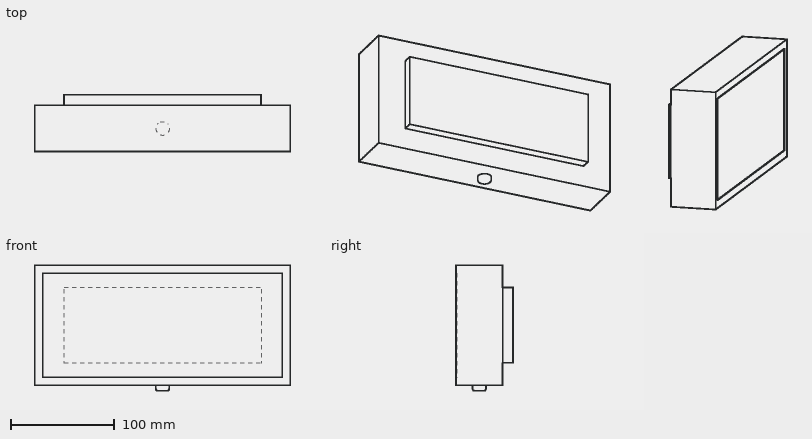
import cadquery as cq

body_width = 247.0
body_depth = 45.0
body_height = 116.0

frame_width = 8.0
recess_depth = 0.7

plate_width = 190.2
plate_height = 72.9
total_depth = 55.0
plate_thickness = total_depth - body_depth

knob_diameter = 13.0
total_height = 121.5
knob_length = total_height - body_height
knob_edge_radius = 2.2


def block(width, depth, height, front_y):
    """Block centred on X and Z that extends from front_y toward +Y."""
    return cq.Workplane("XY").box(width, depth, height, centered=(True, False, True)).translate((0, front_y, 0))


def make_housing():
    housing = block(body_width, body_depth, body_height, 0)
    recess = block(body_width - 2 * frame_width, recess_depth, body_height - 2 * frame_width, 0)
    return housing.cut(recess)


def make_knob():
    return (
        cq.Workplane("XY", origin=(0, body_depth / 2, -body_height / 2))
        .circle(knob_diameter / 2)
        .extrude(-knob_length)
        .faces("<Z")
        .edges()
        .fillet(knob_edge_radius)
    )


mounting_plate = block(plate_width, plate_thickness, plate_height, body_depth)
result = make_housing().union(mounting_plate).union(make_knob())